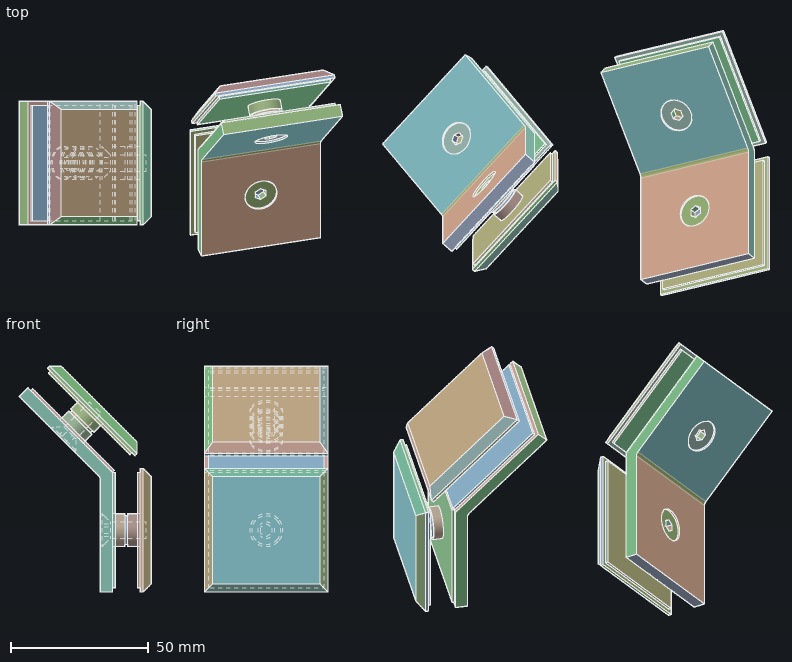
import cadquery as cq
import math


width = 45.0
bend_angle = 45.0
plate_thickness = 4.5
leg_length = 43.53
bend_fillet = 2.0

gasket_thickness = 1.0
gasket_margin = 1.5
glass_gap = 8.0

clamp_height = width
clamp_edge = 1.14
clamp_chamfer = 3.0

boss_diameter = 12.0
spigot_diameter = 10.5
spigot_length = 1.0

thread_diameter = 6.0
screw_length = 16.0
head_diameter = 12.0
head_recess = 0.7
socket_flats = 4.0
socket_depth = 3.0

gasket_size = width - 2 * gasket_margin
clamp_thickness = clamp_edge + clamp_chamfer
clamp_face = 2 * gasket_thickness + glass_gap
boss_reach = (glass_gap - spigot_length) / 2
plate_boss_height = gasket_thickness + boss_reach
clamp_boss_height = clamp_face - plate_boss_height
head_seat = head_recess - plate_thickness
head_height = (head_diameter - thread_diameter) / 2
socket_corners = socket_flats / math.cos(math.radians(30))

lean = math.radians(bend_angle)
bend_setback = plate_thickness * math.tan(lean / 2)
back_leg_length = leg_length - bend_setback

leg_x, leg_z = -math.sin(lean), math.cos(lean)
out_x, out_z = math.cos(lean), math.sin(lean)

screw_height = clamp_height / 2
upper_run = leg_length - screw_height

lower_frame = cq.Plane(
    origin=(plate_thickness, 0, screw_height),
    xDir=(0, 1, 0),
    normal=(1, 0, 0),
)
upper_frame = cq.Plane(
    origin=(plate_thickness + upper_run * leg_x, 0, leg_length + upper_run * leg_z),
    xDir=(0, 1, 0),
    normal=(out_x, 0, out_z),
)
leg_frames = [lower_frame, upper_frame]


def place(body, frame):
    """Copy a body from the origin into a leg frame."""
    return body.solids().val().moved(cq.Location(frame))


def cylinder(diameter, base, height):
    return cq.Workplane("XY").workplane(offset=base).circle(diameter / 2).extrude(height)


def screw_blank():
    """Head cone and shank, without the socket; also the shape of the screw's hole."""
    return (
        cq.Workplane("XZ")
        .moveTo(0, head_seat)
        .lineTo(head_diameter / 2, head_seat)
        .lineTo(thread_diameter / 2, head_seat + head_height)
        .lineTo(thread_diameter / 2, head_seat + screw_length)
        .lineTo(0, head_seat + screw_length)
        .close()
        .revolve(360, (0, 0), (0, 1))
    )


def make_screw():
    socket = (
        cq.Workplane("XY")
        .workplane(offset=head_seat)
        .transformed(rotate=(0, 0, 90))
        .polygon(6, socket_corners)
        .extrude(socket_depth)
    )
    return screw_blank().cut(socket)


def make_gasket(base):
    sheet = cq.Workplane("XY").workplane(offset=base).rect(gasket_size, gasket_size)
    return sheet.circle(boss_diameter / 2).extrude(gasket_thickness)


def make_clamp():
    """Plate with a chamfered front, and a boss with a spigot towards the back plate."""
    plate = (
        cq.Workplane("XY")
        .workplane(offset=clamp_face)
        .rect(width, clamp_height)
        .extrude(clamp_thickness)
        .faces(">Z")
        .chamfer(clamp_chamfer)
    )
    boss = cylinder(boss_diameter, clamp_face, spigot_length - clamp_boss_height)
    spigot = cylinder(spigot_diameter, plate_boss_height, spigot_length)
    return plate.union(boss).union(spigot).cut(screw_blank())


def make_back_plate():
    """Bent plate with a boss and a countersunk hole on each leg."""
    bend_end = (plate_thickness + leg_length * leg_x, leg_length + leg_length * leg_z)
    plate = (
        cq.Workplane("XZ")
        .moveTo(0, 0)
        .lineTo(plate_thickness, 0)
        .lineTo(plate_thickness, leg_length)
        .lineTo(*bend_end)
        .lineTo(bend_end[0] - plate_thickness * out_x, bend_end[1] - plate_thickness * out_z)
        .lineTo(0, back_leg_length)
        .close()
        .extrude(width / 2, both=True)
    )
    inner_bend = cq.selectors.NearestToPointSelector((0, 0, back_leg_length))
    plate = plate.edges("|Y").edges(inner_bend).fillet(bend_fillet)

    boss = cylinder(boss_diameter, 0, plate_boss_height)
    hole = screw_blank().union(cylinder(head_diameter, -plate_thickness, head_recess))
    for frame in leg_frames:
        plate = plate.union(cq.Workplane(place(boss, frame)))
        plate = plate.cut(cq.Workplane(place(hole, frame)))
    return plate


back_plate = make_back_plate()
plate_gasket = make_gasket(0)
clamp_gasket = make_gasket(clamp_face - gasket_thickness)
clamp = make_clamp()
screw = make_screw()

bodies = [back_plate.solids().val()]
for frame in leg_frames:
    for body in (plate_gasket, clamp_gasket, clamp, screw):
        bodies.append(place(body, frame))

result = cq.Compound.makeCompound(bodies)